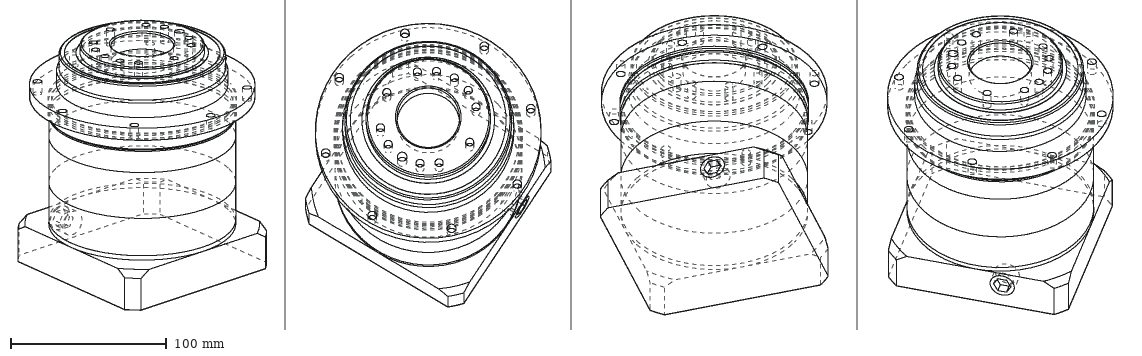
import cadquery as cq
import math

BASE_TOP = 26.6
BASE_SPIGOT_TOP = 29.6
GEAR_BOTTOM = 55.6
GEAR_TOP = 87.5
COLLAR_BOTTOM = 104.1
SEAL_GROOVE_BOTTOM = 110.7
SEAL_GROOVE_TOP = 113.5
FLANGE_BOTTOM = 115.2
FLANGE_TOP = 123.7
PILOT_TOP = 133.8
NOSE_TOP = 145.9
TOTAL_HEIGHT = 152

BODY_RADIUS = 60.0
COLLAR_RADIUS = 60.6
SEAL_GROOVE_RADIUS = 58.4
FLANGE_RADIUS = 72.5
PILOT_RADIUS = 55.0
NOSE_RADIUS = 53.5
OUTPUT_RADIUS = 40.0

NECK_CHAMFER = 0.6
NECK_HEIGHT = 1.2
EDGE_CHAMFER = 1.0
PILOT_CONE_HEIGHT = PILOT_RADIUS - NOSE_RADIUS

SEAL_OUTER_RADIUS = 50.0
SEAL_INNER_RADIUS = 42.5
SEAL_DEPTH = 0.3

BORE_RADIUS = 20.0
BORE_DEPTH = 12.2
OUTPUT_HOLE_CIRCLE = 31.5
TAPPED_DIAMETER = 5.2
PIN_DIAMETER = 6.1
OUTPUT_HOLE_DEPTH = 10.6
DRILL_POINT_ANGLE = 118
TAPPED_ANGLES = [0, 45, 67.5, 112.5, 135, 180, 225, 247.5, 270, 292.5, 315]
PIN_ANGLE = 90

FLANGE_HOLE_COUNT = 8
FLANGE_HOLE_CIRCLE = 67.5
FLANGE_HOLE_DIAMETER = 5.6

BASE_SIDE = 2 * BODY_RADIUS
CORNER_RADIUS = 79.8
CORNER_CHAMFER = 4.4

PLUG_RADIUS = 8.0
PLUG_LENGTH = 12.2
PLUG_Y = -18.0
PLUG_Z = 16.7
HEX_FLATS = 10.0
HEX_DEPTH = 6.1


def cylinder(radius, bottom, top):
    return cq.Workplane("XY").workplane(offset=bottom).circle(radius).extrude(top - bottom)


def turned(outline):
    """Solid of revolution about Z from (radius, height) points."""
    return cq.Workplane("XZ").polyline(outline).close().revolve(360, (0, 0), (0, 1))


def at_output_hole(shape, angle):
    """Move a shape from the axis onto the output hole circle."""
    x = OUTPUT_HOLE_CIRCLE * math.cos(math.radians(angle))
    y = OUTPUT_HOLE_CIRCLE * math.sin(math.radians(angle))
    return shape.translate((x, y, 0))


def drilled_hole():
    """Blind hole on the axis, with a drill point at its floor."""
    radius = TAPPED_DIAMETER / 2
    tip = radius / math.tan(math.radians(DRILL_POINT_ANGLE / 2))
    floor = TOTAL_HEIGHT - OUTPUT_HOLE_DEPTH
    return turned([(0, floor - tip), (radius, floor), (radius, TOTAL_HEIGHT), (0, TOTAL_HEIGHT)])


def pin_hole():
    return cylinder(PIN_DIAMETER / 2, TOTAL_HEIGHT - OUTPUT_HOLE_DEPTH, TOTAL_HEIGHT)


def flange_holes():
    return (
        cq.Workplane("XY")
        .workplane(offset=FLANGE_BOTTOM)
        .polarArray(FLANGE_HOLE_CIRCLE, 0, 360, FLANGE_HOLE_COUNT)
        .circle(FLANGE_HOLE_DIAMETER / 2)
        .extrude(FLANGE_TOP - FLANGE_BOTTOM)
    )


def housing_blank():
    c = EDGE_CHAMFER
    neck_bottom = COLLAR_BOTTOM - NECK_HEIGHT
    outline = [
        (0, GEAR_TOP),
        (BODY_RADIUS, GEAR_TOP),
        (BODY_RADIUS, neck_bottom - NECK_CHAMFER),
        (BODY_RADIUS - NECK_CHAMFER, neck_bottom),
        (COLLAR_RADIUS, COLLAR_BOTTOM),
        (COLLAR_RADIUS, SEAL_GROOVE_BOTTOM),
        (SEAL_GROOVE_RADIUS, SEAL_GROOVE_BOTTOM),
        (SEAL_GROOVE_RADIUS, SEAL_GROOVE_TOP),
        (COLLAR_RADIUS, SEAL_GROOVE_TOP),
        (COLLAR_RADIUS, FLANGE_BOTTOM),
        (FLANGE_RADIUS, FLANGE_BOTTOM),
        (FLANGE_RADIUS, FLANGE_TOP),
        (PILOT_RADIUS, FLANGE_TOP),
        (PILOT_RADIUS, PILOT_TOP),
        (NOSE_RADIUS, PILOT_TOP + PILOT_CONE_HEIGHT),
        (NOSE_RADIUS, NOSE_TOP - c),
        (NOSE_RADIUS - c, NOSE_TOP),
        (SEAL_OUTER_RADIUS, NOSE_TOP),
        (SEAL_OUTER_RADIUS, NOSE_TOP - SEAL_DEPTH),
        (SEAL_INNER_RADIUS, NOSE_TOP - SEAL_DEPTH),
        (SEAL_INNER_RADIUS, NOSE_TOP),
        (OUTPUT_RADIUS, NOSE_TOP),
        (OUTPUT_RADIUS, TOTAL_HEIGHT - c),
        (OUTPUT_RADIUS - c, TOTAL_HEIGHT),
        (BORE_RADIUS + c, TOTAL_HEIGHT),
        (BORE_RADIUS, TOTAL_HEIGHT - c),
        (BORE_RADIUS, TOTAL_HEIGHT - BORE_DEPTH),
        (0, TOTAL_HEIGHT - BORE_DEPTH),
    ]
    return turned(outline)


def make_housing():
    """Flanged housing with its output face."""
    body = housing_blank().cut(flange_holes())
    for angle in TAPPED_ANGLES:
        body = body.cut(at_output_hole(drilled_hole(), angle))
    return body.cut(at_output_hole(pin_hole(), PIN_ANGLE))


def make_ring_gear():
    return cylinder(BODY_RADIUS, GEAR_BOTTOM, GEAR_TOP)


def make_adapter():
    return cylinder(BODY_RADIUS, BASE_SPIGOT_TOP, GEAR_BOTTOM)


def plug_plane():
    """Plane on the -X side of the base, centred on the plug and facing into the base."""
    return cq.Workplane("YZ", origin=(-BODY_RADIUS, PLUG_Y, PLUG_Z))


def plug_cylinder():
    return plug_plane().circle(PLUG_RADIUS).extrude(PLUG_LENGTH)


def make_base():
    """Square plate with turned corners, a round spigot on top and the plug hole."""
    block = cq.Workplane("XY").rect(BASE_SIDE, BASE_SIDE).extrude(BASE_TOP)
    corner_envelope = cylinder(CORNER_RADIUS, 0, BASE_TOP).faces(">Z").chamfer(CORNER_CHAMFER)
    spigot = cylinder(BODY_RADIUS, BASE_TOP, BASE_SPIGOT_TOP)
    return block.intersect(corner_envelope).union(spigot).cut(plug_cylinder())


def make_plug():
    hex_corners = HEX_FLATS / math.cos(math.pi / 6)
    socket = plug_plane().polygon(6, hex_corners).extrude(HEX_DEPTH)
    return plug_cylinder().cut(socket)


housing = make_housing()
ring_gear = make_ring_gear()
adapter = make_adapter()
base = make_base()
plug = make_plug()

result = cq.Compound.makeCompound(
    [housing.val(), ring_gear.val(), adapter.val(), base.val(), plug.val()]
)